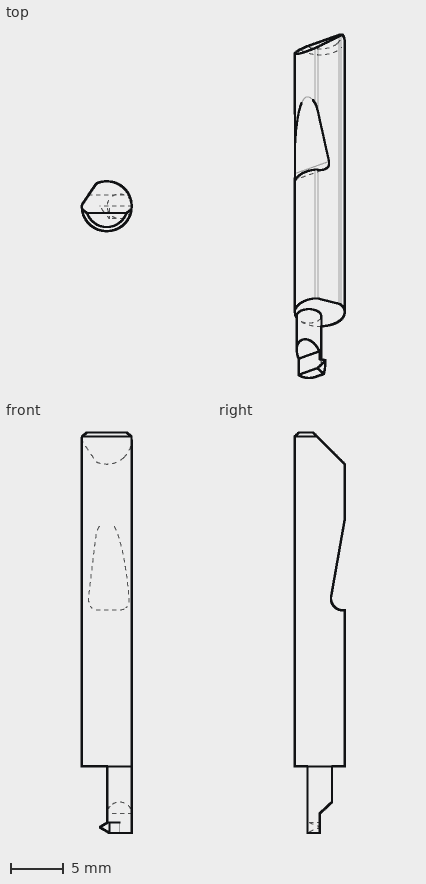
import math

import cadquery as cq

shank_diameter = 4.7625
shank_radius = shank_diameter / 2
overall_length = 38.1
neck_length = 6.35
shank_length = overall_length - neck_length
top_chamfer = 0.4

flat_normal_angle = 146.0
flat_distance = 2.04
flat_edge_radius = 0.5

slant_start_y = -0.65

notch_wall_z = 21.2
notch_top_z = 29.8
notch_ramp_angle = 10.0
notch_corner_radius = 1.1

neck_radius = 1.17
neck_center_x = shank_radius - neck_radius

relief_top_z = 2.95
relief_angle = 43.0

tooth_height = 1.02
tooth_tip_x = -0.63
tooth_tip_z = 0.56
tooth_tip_flat = 0.08
tooth_flank_angle = 30.0
tooth_heel_x = 0.25
tooth_depth = neck_radius
clearance_bulge = 0.05

flank_slope = math.tan(math.radians(tooth_flank_angle))
tooth_upper_z = tooth_tip_z + tooth_tip_flat / 2
tooth_lower_z = tooth_tip_z - tooth_tip_flat / 2
tooth_upper_x = tooth_tip_x + (tooth_height - tooth_upper_z) / flank_slope
tooth_lower_x = tooth_tip_x + tooth_lower_z / flank_slope


def make_shank():
    shank = (
        cq.Workplane("XY")
        .workplane(offset=neck_length)
        .circle(shank_radius)
        .extrude(shank_length)
        .faces(">Z")
        .edges()
        .chamfer(top_chamfer)
    )
    return shank.intersect(make_flatted_bar()).cut(make_top_slant()).cut(make_notch())


def make_flatted_bar():
    """Bar with the shank's round section, cut by the side flat with rounded edges."""
    bar = cq.Workplane("XY").circle(shank_radius).extrude(overall_length)
    cutter = (
        cq.Workplane("XY")
        .center(flat_distance + shank_radius, 0)
        .rect(shank_diameter, 2 * shank_diameter)
        .extrude(overall_length)
        .rotate((0, 0, 0), (0, 0, 1), flat_normal_angle)
    )
    angle = math.radians(flat_normal_angle)
    flat_point = (flat_distance * math.cos(angle), flat_distance * math.sin(angle), overall_length / 2)
    flat_face = bar.cut(cutter).faces(cq.selectors.NearestToPointSelector(flat_point))
    return flat_face.edges("|Z").fillet(flat_edge_radius)


def extrude_along_x(profile):
    """Solid from a closed profile in the YZ plane, wide enough to span the shank."""
    return profile.close().extrude(shank_diameter, both=True)


def make_top_slant():
    """Cutter; equal steps along Y and Z give the 45 degree slope."""
    run = 2 * shank_diameter
    return extrude_along_x(
        cq.Workplane("YZ")
        .moveTo(slant_start_y, overall_length)
        .lineTo(slant_start_y + run, overall_length - run)
        .lineTo(slant_start_y + run, overall_length)
    )


def make_notch():
    slope = math.tan(math.radians(notch_ramp_angle))
    ramp_depth = (notch_top_z - notch_wall_z) * slope
    outside = shank_diameter
    block = extrude_along_x(
        cq.Workplane("YZ")
        .moveTo(shank_radius - ramp_depth, notch_wall_z)
        .lineTo(outside, notch_wall_z)
        .lineTo(outside, notch_top_z + (outside - shank_radius) / slope)
    )
    return block.edges("|X and <Y").fillet(notch_corner_radius)


def make_neck():
    neck = cq.Workplane("XY").center(neck_center_x, 0).circle(neck_radius).extrude(neck_length)
    return neck.cut(make_relief()).cut(make_lower_flank_cut())


def make_relief():
    slope = math.tan(math.radians(relief_angle))
    outside = 2 * neck_radius
    return extrude_along_x(
        cq.Workplane("YZ")
        .lineTo(0, relief_top_z - neck_radius * slope)
        .lineTo(outside, relief_top_z + (outside - neck_radius) * slope)
        .lineTo(outside, 0)
    )


def make_lower_flank_cut():
    """Wedge below the line of the lower flank, removed from the neck."""
    return (
        cq.Workplane("XZ")
        .moveTo(tooth_tip_x, 0)
        .lineTo(tooth_tip_x, tooth_lower_z)
        .lineTo(tooth_lower_x, 0)
        .close()
        .extrude(neck_radius, both=True)
    )


def make_tooth():
    """Overlap of the point profile (in XZ) and the clearance outline (in XY)."""
    point = (
        cq.Workplane("XZ")
        .moveTo(tooth_tip_x, tooth_lower_z)
        .lineTo(tooth_tip_x, tooth_upper_z)
        .lineTo(tooth_upper_x, tooth_height)
        .lineTo(neck_center_x, tooth_height)
        .lineTo(neck_center_x, 0)
        .lineTo(tooth_lower_x, 0)
        .close()
        .extrude(tooth_depth)
    )
    clearance = (
        cq.Workplane("XY")
        .moveTo(neck_center_x, 0)
        .lineTo(tooth_tip_x, 0)
        .sagittaArc((tooth_heel_x, -tooth_depth), -clearance_bulge)
        .lineTo(neck_center_x, -tooth_depth)
        .close()
        .extrude(tooth_height)
    )
    return point.intersect(clearance)


result = make_shank().union(make_neck()).union(make_tooth())